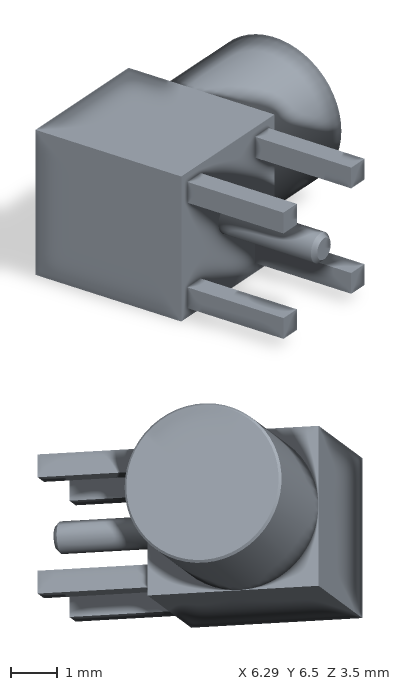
import cadquery as cq

overall_depth = 6.5

body_length = 3.795
body_side = 3.5

barrel_diameter = 3.485
barrel_length = overall_depth - body_side
barrel_chamfer = 0.05
barrel_x = body_side / 2

pin_length = 2.5
ground_pin_side = 0.5
ground_pin_pitch = 2.54
signal_pin_diameter = 0.7
signal_pin_chamfer = 0.1


def make_body():
    return cq.Workplane("XY").box(body_length, body_side, body_side, centered=(False, True, True))


def make_barrel():
    return (
        cq.Workplane("XZ", origin=(barrel_x, body_side / 2, 0))
        .circle(barrel_diameter / 2)
        .extrude(-barrel_length)
        .faces(">Y")
        .chamfer(barrel_chamfer)
    )


def make_ground_pins():
    return (
        cq.Workplane("YZ", origin=(body_length, 0, 0))
        .rarray(ground_pin_pitch, ground_pin_pitch, 2, 2)
        .rect(ground_pin_side, ground_pin_side)
        .extrude(pin_length)
    )


def make_signal_pin():
    return (
        cq.Workplane("YZ", origin=(body_length, 0, 0))
        .circle(signal_pin_diameter / 2)
        .extrude(pin_length)
        .faces(">X")
        .chamfer(signal_pin_chamfer)
    )


result = make_body().union(make_barrel()).union(make_ground_pins()).union(make_signal_pin())